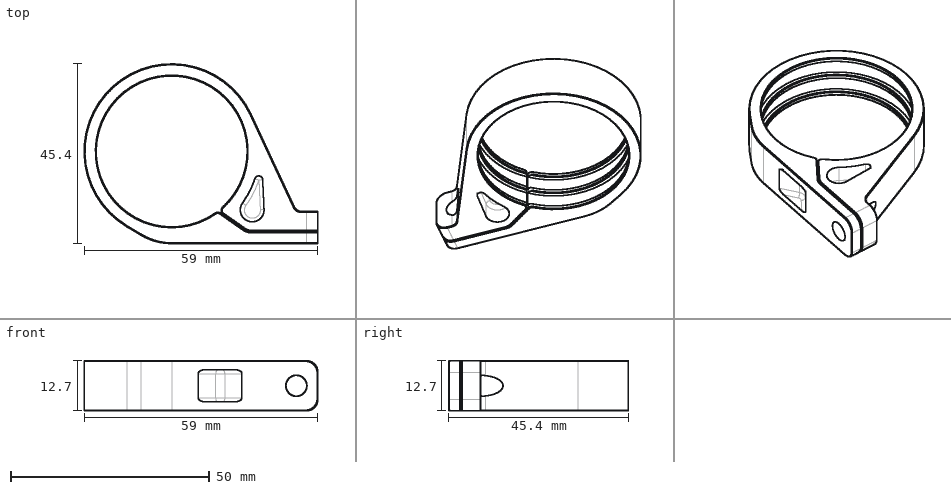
import cadquery as cq
import math

height = 12.7
ring_radius = 22.1
bore_radius = 19.05
edge_chamfer = 0.2
overlap = 1.0

ear_end_x = 36.9
base_y = -23.27
ear_top_y = -15.15
gusset_angle = 25.0
gusset_fillet = 2.0
heel_angle = 239.0
heel_radius = 15.0
ear_corner_radius = 3.0

land_width = 1.27
groove_count = 2
groove_depth = 1.1
groove_width = (height - (groove_count + 1) * land_width) / groove_count

slit_width = 0.22
slit_y = -20.2
slit_bend_x = 19.05
slit_angle = 35.0
slit_oblique_length = 11.5
slit_bend_radius = 3.0
lip_radius = 1.15

screw_diameter = 5.25
screw_x = 31.46

v_pocket_width = 11.0
v_pocket_height = 8.1
v_pocket_x = 12.2
v_pocket_angle = slit_angle
v_pocket_apex_radius = 2.0
v_pocket_fillet = 1.0

teardrop_web = 2.0
teardrop_bulb_radius = 3.0
teardrop_tip_radius = 1.0
teardrop_bulb_angle = -36.0
teardrop_tip_angle = -18.1
teardrop_floor_fillet = 0.98


def polar(radius, angle, center=(0.0, 0.0)):
    """Point at a radius and an angle in degrees around a center."""
    a = math.radians(angle)
    return (center[0] + radius * math.cos(a), center[1] + radius * math.sin(a))


def bearing(start, end):
    """Direction in degrees from one point to another."""
    return math.degrees(math.atan2(end[1] - start[1], end[0] - start[0]))


def prism(sketch):
    """Extrude an XY outline over the full height, centred on Z = 0."""
    return sketch.extrude(height / 2, both=True)


def make_body():
    """Ring with its tangent gusset, clamp arm and heel."""
    flank_start = polar(ring_radius, gusset_angle)
    flank_run = (flank_start[1] - ear_top_y) * math.tan(math.radians(gusset_angle))
    flank_end = (flank_start[0] + flank_run, ear_top_y)

    heel_start = polar(ring_radius, heel_angle)
    heel_slope = math.radians(270.0 - heel_angle)
    heel_run = (heel_start[1] - base_y) / math.tan(heel_slope)
    heel_corner = (heel_start[0] + heel_run, base_y)

    body = prism(
        cq.Workplane("XY")
        .moveTo(*flank_start)
        .threePointArc(polar(ring_radius, (gusset_angle + heel_angle) / 2), heel_start)
        .lineTo(*heel_corner)
        .lineTo(ear_end_x, base_y)
        .lineTo(ear_end_x, ear_top_y)
        .lineTo(*flank_end)
        .close()
    )
    body = round_upright_edge(body, flank_end, gusset_fillet)
    body = round_upright_edge(body, heel_corner, heel_radius)
    return body.cut(prism(cq.Workplane("XY").circle(bore_radius)))


def round_upright_edge(body, point, radius):
    """Fillet the vertical edge that passes nearest to an XY point."""
    return body.edges("|Z").edges(cq.NearestToPointSelector((*point, 0.0))).fillet(radius)


def cut_slit(body):
    """Split the clamp arm from the ear end into the bore and round both lips."""
    bend = (slit_bend_x, slit_y)
    inner_end = polar(slit_oblique_length, 180.0 - slit_angle, bend)
    half = slit_width / 2
    shift = half * math.tan(math.radians(slit_angle / 2))
    across = 90.0 - slit_angle
    slit = prism(
        cq.Workplane("XY")
        .moveTo(ear_end_x + overlap, slit_y + half)
        .lineTo(slit_bend_x + shift, slit_y + half)
        .lineTo(*polar(half, across, inner_end))
        .lineTo(*polar(-half, across, inner_end))
        .lineTo(slit_bend_x - shift, slit_y - half)
        .lineTo(ear_end_x + overlap, slit_y - half)
        .close()
    )
    slit = round_upright_edge(slit, (slit_bend_x + shift, slit_y + half), slit_bend_radius - half)
    slit = round_upright_edge(slit, (slit_bend_x - shift, slit_y - half), slit_bend_radius + half)
    body = body.cut(slit)
    slope = math.radians(slit_angle)
    offset = slit_bend_x * math.sin(slope) + slit_y * math.cos(slope)
    mouth_angle = math.degrees(math.asin(offset / bore_radius)) - slit_angle
    for side in (half, -half):
        mouth = polar(side, across, polar(bore_radius, mouth_angle))
        body = round_upright_edge(body, mouth, lip_radius)
    return body


def finish_edges(body):
    """Round the ear end corners and break all top and bottom edges."""
    body = body.edges("|Y").edges(">X").fillet(ear_corner_radius)
    return body.faces("|Z").edges().chamfer(edge_chamfer)


def make_groove(bottom_z):
    """Ring cutter for one bore groove with chamfered mouth edges."""
    top_z = bottom_z + groove_width
    floor_radius = bore_radius + groove_depth
    mouth_radius = bore_radius + edge_chamfer
    return (
        cq.Workplane("XZ")
        .moveTo(bore_radius - edge_chamfer, bottom_z - 2 * edge_chamfer)
        .lineTo(mouth_radius, bottom_z)
        .lineTo(floor_radius, bottom_z)
        .lineTo(floor_radius, top_z)
        .lineTo(mouth_radius, top_z)
        .lineTo(bore_radius - edge_chamfer, top_z + 2 * edge_chamfer)
        .close()
        .revolve(360, (0, 0, 0), (0, 1, 0))
    )


def make_screw_hole():
    """Cutter through the ear, running clear of the gusset flank behind it."""
    return (
        cq.Workplane("XZ", origin=(screw_x, base_y - overlap, 0))
        .circle(screw_diameter / 2)
        .extrude(-(overlap - base_y))
    )


def make_v_pocket():
    """V-shaped pocket with a rounded apex, sunk from the arm's underside."""
    slope = math.tan(math.radians(v_pocket_angle))
    half = v_pocket_width / 2
    apex = (v_pocket_x, base_y + half * slope)
    outer_half = half + overlap / slope
    pocket = (
        cq.Workplane("XY")
        .moveTo(v_pocket_x - outer_half, base_y - overlap)
        .lineTo(*apex)
        .lineTo(v_pocket_x + outer_half, base_y - overlap)
        .close()
        .extrude(v_pocket_height / 2, both=True)
    )
    pocket = round_upright_edge(pocket, apex, v_pocket_apex_radius)
    return pocket.faces("|Z").edges("not <Y").fillet(v_pocket_fillet)


def make_teardrop():
    """Teardrop cutter whose inner flank is concentric with the ring."""
    bulb = polar(ring_radius + teardrop_bulb_radius, teardrop_bulb_angle)
    tip = polar(ring_radius + teardrop_tip_radius, teardrop_tip_angle)
    spread = math.degrees(
        math.asin((teardrop_bulb_radius - teardrop_tip_radius) / math.dist(bulb, tip))
    )
    axis = bearing(bulb, tip)
    tangent = axis - 90.0 + spread
    tip_mid = (tangent + teardrop_tip_angle + 180.0) / 2
    bulb_mid = (tangent + teardrop_bulb_angle - 180.0) / 2
    flank_mid = (teardrop_tip_angle + teardrop_bulb_angle) / 2
    floor_z = teardrop_web / 2
    return (
        cq.Workplane("XY", origin=(0, 0, floor_z))
        .moveTo(*polar(teardrop_bulb_radius, tangent, bulb))
        .lineTo(*polar(teardrop_tip_radius, tangent, tip))
        .threePointArc(
            polar(teardrop_tip_radius, tip_mid, tip), polar(ring_radius, teardrop_tip_angle)
        )
        .threePointArc(polar(ring_radius, flank_mid), polar(ring_radius, teardrop_bulb_angle))
        .threePointArc(
            polar(teardrop_bulb_radius, bulb_mid, bulb),
            polar(teardrop_bulb_radius, tangent, bulb),
        )
        .close()
        .extrude(height / 2 - floor_z + overlap)
        .faces("<Z")
        .edges()
        .fillet(teardrop_floor_fillet)
    )


result = finish_edges(cut_slit(make_body()))
for index in range(groove_count):
    groove_bottom = -height / 2 + land_width + index * (groove_width + land_width)
    result = result.cut(make_groove(groove_bottom))
result = result.cut(make_screw_hole()).cut(make_v_pocket())
teardrop = make_teardrop()
result = result.cut(teardrop).cut(teardrop.mirror("XY"))